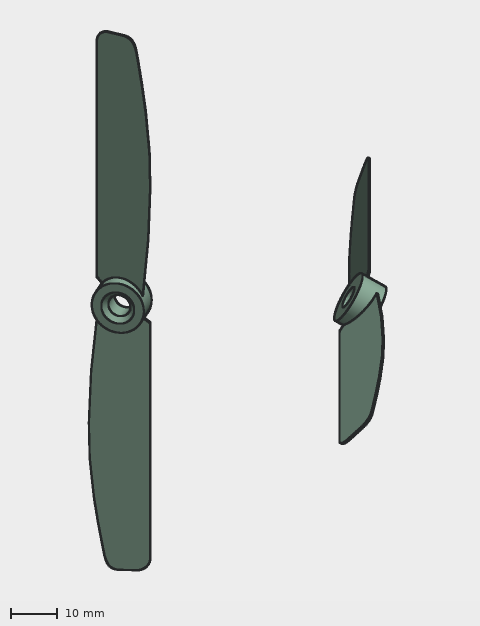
import cadquery as cq
import math

span = 127.0
hub_diameter = 11.7
hub_length = 6.0
bore_diameter = 5.0
bore_mouth_diameter = 7.4
bore_taper_depth = 1.3

blade_thickness = 0.4
pitch_slope = 0.23
pitch_angle = math.degrees(math.atan(pitch_slope))
straight_edge_x = -6.0
widest_x = 6.9
widest_z = 30.9
root_corner_z = 4.7
root_inner_x = -3.8
root_inner_z = 2.8
root_outer_x = 5.1
tip_z = span / 2
tip_arc_end_x = 3.8
tip_arc_end_z = 58.9
tip_corner_radius = 2.8
tip_top_x = 0.4
curve_end_slope = 0.18
root_slope = 0.12


def make_hub():
    half_length = hub_length / 2
    hub_radius = hub_diameter / 2
    return cq.Workplane("XZ").circle(hub_radius).extrude(half_length, both=True)


def make_bore():
    """Straight through bore with a tapered mouth on the -Y face."""
    half_length = hub_length / 2
    bore_radius = bore_diameter / 2
    return (
        cq.Workplane("XY")
        .moveTo(0, -half_length)
        .lineTo(bore_mouth_diameter / 2, -half_length)
        .lineTo(bore_radius, bore_taper_depth - half_length)
        .lineTo(bore_radius, half_length)
        .lineTo(0, half_length)
        .close()
        .revolve(360, (0, 0, 0), (0, 1, 0))
    )


def make_blade():
    """Upper blade: plan outline cut through the hub height of a pitched plate."""
    corner_mid = tip_corner_radius * (1 - math.sqrt(0.5))
    outline = (
        cq.Workplane("XZ")
        .moveTo(root_inner_x, root_inner_z)
        .lineTo(straight_edge_x, root_corner_z)
        .lineTo(straight_edge_x, tip_z - tip_corner_radius)
        .threePointArc(
            (straight_edge_x + corner_mid, tip_z - corner_mid),
            (straight_edge_x + tip_corner_radius, tip_z),
        )
        .lineTo(tip_top_x, tip_z)
        .spline(
            [(tip_arc_end_x, tip_arc_end_z)],
            tangents=[(1, 0), (curve_end_slope, -1)],
            includeCurrent=True,
        )
        .spline(
            [(widest_x, widest_z), (root_outer_x, root_inner_z)],
            tangents=[(curve_end_slope, -1), (0, -1), (-root_slope, -1)],
            includeCurrent=True,
        )
        .close()
        .extrude(hub_length / 2, both=True)
    )
    plate = (
        cq.Workplane("XY")
        .box(4 * widest_x, blade_thickness, 2 * span)
        .rotate((0, 0, 0), (0, 0, 1), -pitch_angle)
    )
    return plate.intersect(outline)


blade = make_blade()
opposite_blade = blade.rotate((0, 0, 0), (0, 1, 0), 180)
result = make_hub().union(blade).union(opposite_blade).cut(make_bore())